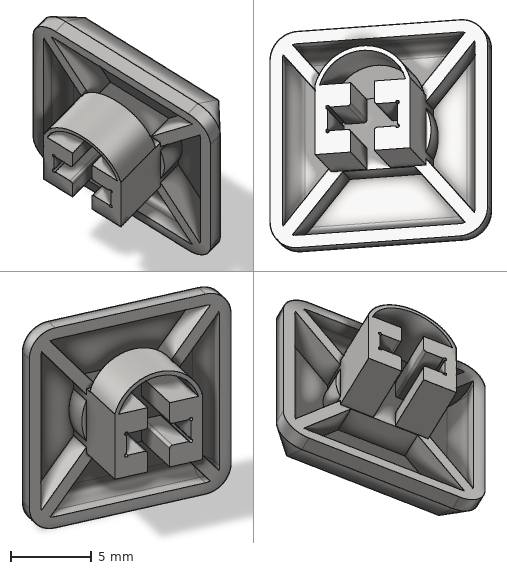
import cadquery as cq
import math


cap_width = 14.0
cap_corner_radius = 1.78
skirt_height = 1.0
cap_height = 3.0
bevel_angle = 40.0

rim_width = 0.8
cavity_depth = 1.8
cavity_width = cap_width - 2 * rim_width
cavity_fillet = cap_corner_radius - rim_width

core_width = 6.09
core_height = 4.59
boss_radius = 3.36

rib_width = 0.85
rib_angle = 50.0
rib_corner_offset = 5.85
rib_length = 6.16
rib_overrun = 0.42

total_depth = 7.0
stem_length = total_depth - cap_height
stem_width = core_width
stem_height = 4.5
slot_width = 1.53
slot_span = stem_height
slot_corner_fillet = 0.2
relief_radius = 0.11

hoop_radius = 3.18
hoop_wall = 0.3
hoop_center_z = 1.4
hoop_gap = 0.5
hoop_length = stem_length - hoop_gap


def rim_plane(y=0.0):
    """Sketch plane at the given Y: local x is X, local y is Z, extrusion goes toward -Y."""
    return cq.Workplane("XZ", origin=(0, y, 0))


def make_cap():
    outline = cq.Sketch().rect(cap_width, cap_width).vertices().fillet(cap_corner_radius)
    skirt = rim_plane().placeSketch(outline).extrude(-skirt_height)
    bevel_height = cap_height - skirt_height
    bevel = rim_plane(skirt_height).placeSketch(outline).extrude(-bevel_height, taper=bevel_angle)
    return skirt.union(bevel)


def make_cavity():
    """Square recess with one radius on its corners and around its floor."""
    block = rim_plane().rect(cavity_width, cavity_width).extrude(-cavity_depth)
    return block.edges("|Y or >Y").fillet(cavity_fillet)


def make_core():
    """Rectangular core, widened left and right by a round boss."""
    block = rim_plane().rect(core_width, core_height).extrude(-cavity_depth)
    boss = rim_plane().circle(boss_radius).extrude(-cavity_depth)
    band = rim_plane().rect(cap_width, core_height).extrude(-cavity_depth)
    return block.union(boss.intersect(band))


def make_ribs():
    """Four ribs, trimmed to the cavity so that they fill it up to the rim."""
    ribs = cq.Workplane()
    middle = rib_length / 2 - rib_overrun
    for side_x in (-1, 1):
        for side_z in (-1, 1):
            x = side_x * (rib_corner_offset - middle * math.cos(math.radians(rib_angle)))
            z = side_z * (rib_corner_offset - middle * math.sin(math.radians(rib_angle)))
            rib = (
                rim_plane()
                .center(x, z)
                .transformed(rotate=(0, 0, side_x * side_z * rib_angle))
                .rect(rib_length, rib_width)
                .extrude(-cavity_depth)
            )
            ribs = ribs.add(rib)
    return ribs.combine()


def make_hoop():
    """Round hoop wall, kept only above the stem block and no wider than it."""
    ring = (
        rim_plane(-hoop_gap)
        .center(0, hoop_center_z)
        .circle(hoop_radius)
        .circle(hoop_radius - hoop_wall)
        .extrude(hoop_length)
    )
    hoop_bounds = (
        rim_plane(-hoop_gap)
        .center(0, stem_height / 2 + hoop_radius / 2)
        .rect(stem_width, hoop_radius)
        .extrude(hoop_length)
    )
    return ring.intersect(hoop_bounds)


def make_socket():
    """Cross-shaped slot with rounded inner corners and relief holes at the ends of the X arms."""
    cross = (
        cq.Sketch()
        .rect(slot_span, slot_width)
        .rect(slot_width, slot_span)
        .clean()
    )
    inner_corners = "|Y and (not >X) and (not <X) and (not >Z) and (not <Z)"
    socket = rim_plane().placeSketch(cross).extrude(stem_length).edges(inner_corners)
    socket = socket.fillet(slot_corner_fillet)
    reliefs = (
        rim_plane()
        .rect(slot_span, slot_width, forConstruction=True)
        .vertices()
        .circle(relief_radius)
        .extrude(stem_length)
    )
    return socket.union(reliefs)


def make_stem():
    block = rim_plane().rect(stem_width, stem_height).extrude(stem_length)
    return block.cut(make_socket()).union(make_hoop())


cavity = make_cavity()
ribs = make_ribs().intersect(cavity)
result = make_cap().cut(cavity).union(ribs).union(make_core()).union(make_stem())